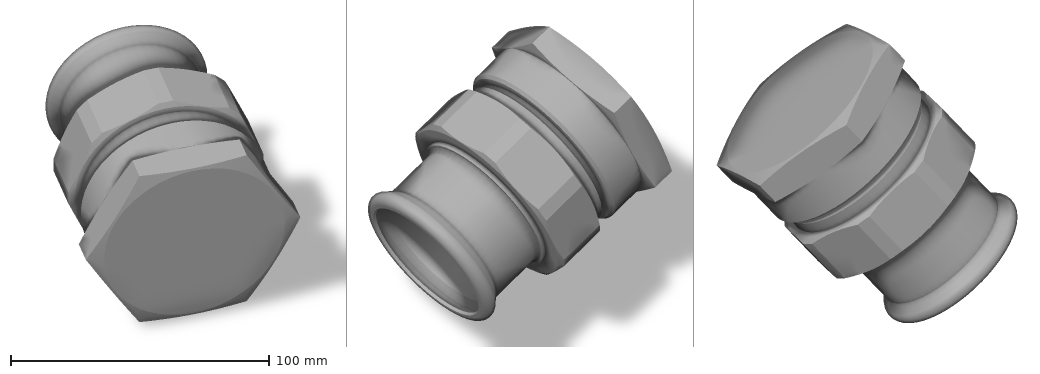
import cadquery as cq
import math

total_length = 95.0
envelope_margin = 0.95

bead_radius = 32.6
bead_crest_x = 3.5
bead_back_x = 5.7
bead_back_radius = 31.5
bead_end_x = 9.2
face_outer_radius = 29.3
tube_radius = 28.7
tube_end_x = 30.9
shoulder_x = 33.0
shoulder_root_radius = 29.8
shoulder_radius = 31.1

mouth_radius = 27.8
entry_x = 1.2
entry_radius = 27.55
groove_front_radius = 29.45
groove_crest_x = 3.1
groove_radius = 30.8
groove_back_x = 4.7
groove_back_radius = 29.9
groove_end_x = 7.4
groove_end_radius = 27.5
bore_start_x = 9.3
bore_radius = 26.9
bore_floor_x = 33.8

nut_start_x = 34.9
nut_end_x = 57.7
nut_sides = 8
nut_flat_radius = 37.5
nut_across_corner_flats = 78.8
nut_corner_radius = nut_across_corner_flats / 2
nut_face_radius = 37.2
nut_chamfer_angle = 30.0

collar_radius = 34.6
collar_end_x = 62.7
neck_fillet_x = 63.6
neck_fillet_radius = 33.1
neck_start_x = 64.4
neck_radius = 32.6
neck_end_x = 65.4

body_start_x = 65.6
body_chamfer = 1.2
hex_start_x = 81.8
hex_sides = 6
hex_flat_radius = 37.5
hex_face_radius = 36.5
hex_chamfer_angle = 15.0
body_radius = hex_flat_radius


def polygon_prism(sides, flat_radius, start_x, end_x, first_corner_angle):
    """Regular prism along X; the corner angle is measured from +Y toward +Z."""
    corner_radius = flat_radius / math.cos(math.pi / sides)
    corners = []
    for i in range(sides):
        angle = math.radians(first_corner_angle + 360 / sides * i)
        corners.append((corner_radius * math.cos(angle), corner_radius * math.sin(angle)))
    return cq.Workplane("YZ", origin=(start_x, 0, 0)).polyline(corners).close().extrude(end_x - start_x)


def chamfer_envelope(start_x, end_x, face_radius, outer_radius, angle):
    """Round envelope whose conical ends chamfer the corners of a prism."""
    depth = (outer_radius - face_radius) * math.tan(math.radians(angle))
    return revolve_about_x(
        cq.Workplane("XY")
        .moveTo(start_x, 0)
        .lineTo(start_x, face_radius)
        .lineTo(start_x + depth, outer_radius)
        .lineTo(end_x - depth, outer_radius)
        .lineTo(end_x, face_radius)
        .lineTo(end_x, 0)
    )


def revolve_about_x(outline):
    return outline.close().revolve(360, (0, 0, 0), (1, 0, 0))


def make_turned_body():
    outline = (
        cq.Workplane("XY")
        .moveTo(bore_floor_x, 0)
        .lineTo(bore_floor_x, bore_radius)
        .lineTo(bore_start_x, bore_radius)
        .lineTo(groove_end_x, groove_end_radius)
        .lineTo(groove_back_x, groove_back_radius)
        .threePointArc((groove_crest_x, groove_radius), (entry_x, groove_front_radius))
        .lineTo(entry_x, entry_radius)
        .lineTo(0, mouth_radius)
        .lineTo(0, face_outer_radius)
        .threePointArc((bead_crest_x, bead_radius), (bead_back_x, bead_back_radius))
        .lineTo(bead_end_x, tube_radius)
        .lineTo(tube_end_x, tube_radius)
        .tangentArcPoint((shoulder_x, shoulder_root_radius), relative=False)
        .lineTo(shoulder_x, shoulder_radius)
        .lineTo(nut_end_x, shoulder_radius)
        .lineTo(nut_end_x, collar_radius)
        .lineTo(collar_end_x, collar_radius)
        .lineTo(neck_fillet_x, neck_fillet_radius)
        .tangentArcPoint((neck_start_x, neck_radius), relative=False)
        .lineTo(neck_end_x, neck_radius)
        .lineTo(body_start_x, neck_radius + body_start_x - neck_end_x)
        .lineTo(body_start_x, body_radius - body_chamfer)
        .lineTo(body_start_x + body_chamfer, body_radius)
        .lineTo(hex_start_x, body_radius)
        .lineTo(hex_start_x, 0)
    )
    return revolve_about_x(outline)


def make_hexagon():
    hex_corner_radius = hex_flat_radius / math.cos(math.pi / hex_sides)
    prism = polygon_prism(hex_sides, hex_flat_radius, hex_start_x, total_length, 0)
    envelope = chamfer_envelope(
        hex_start_x, total_length, hex_face_radius, hex_corner_radius + envelope_margin, hex_chamfer_angle
    )
    return prism.intersect(envelope)


def make_fitting():
    return make_turned_body().union(make_hexagon())


def make_nut():
    half_side_angle = 180 / nut_sides
    prism = polygon_prism(nut_sides, nut_flat_radius, nut_start_x, nut_end_x, 0)
    corner_flats = polygon_prism(nut_sides, nut_corner_radius, nut_start_x, nut_end_x, half_side_angle)
    envelope = chamfer_envelope(
        nut_start_x, nut_end_x, nut_face_radius, nut_corner_radius + envelope_margin, nut_chamfer_angle
    )
    bore = (
        cq.Workplane("YZ", origin=(nut_start_x, 0, 0))
        .circle(shoulder_radius)
        .extrude(nut_end_x - nut_start_x)
    )
    return prism.intersect(corner_flats).intersect(envelope).cut(bore)


fitting = make_fitting()
nut = make_nut()
result = cq.Compound.makeCompound([fitting.val(), nut.val()])